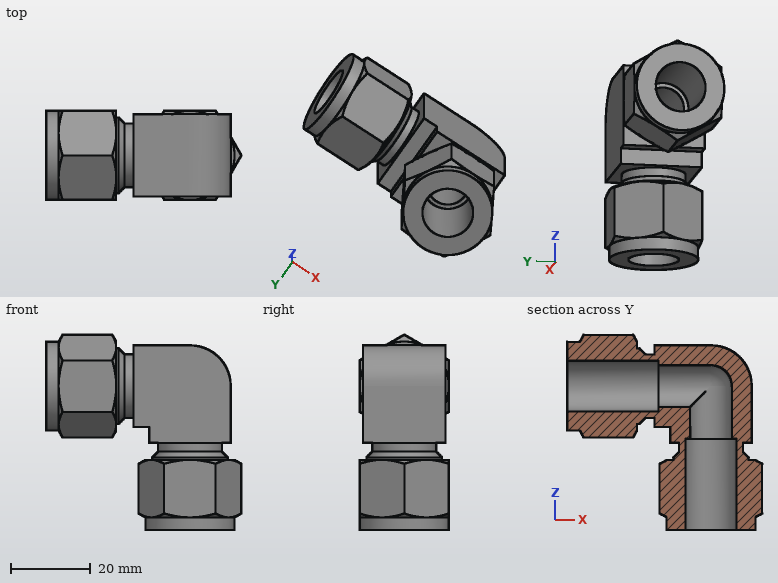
import math
import cadquery as cq


end_distance = 36.07

body_width = 20.7
body_half_height = 10.25
body_face = 14.2

hex_across_flats = 22.35
collar_diameter = hex_across_flats
collar_length = 3.16
hex_length = 14.43
chamfer_angle = 30.0

neck_diameter = 16.06
flange_diameter = 19.05
cone_start = 16.4
cone_end = 17.9

socket_diameter = 12.7
socket_depth = 22.86
bore_diameter = 10.4

hex_outer = end_distance - collar_length
hex_inner = hex_outer - hex_length
hex_across_corners = hex_across_flats / math.cos(math.radians(30))


def cylinder(diameter, start, end):
    """Cylinder on the Z axis, running downwards between two distances."""
    return cq.Workplane("XY").workplane(offset=-end).circle(diameter / 2).extrude(end - start)


def make_body():
    """Elbow block with a rounded outer corner and a notched inner corner."""
    h = body_half_height
    mid_arc = h * math.sqrt(0.5)
    return (
        cq.Workplane("XZ")
        .moveTo(-body_face, h)
        .lineTo(0, h)
        .threePointArc((mid_arc, mid_arc), (h, 0))
        .lineTo(h, -body_face)
        .lineTo(-h, -body_face)
        .lineTo(-h, -h)
        .lineTo(-body_face, -h)
        .close()
        .extrude(body_width / 2, both=True)
    )


def make_hex():
    """Hexagon with conically chamfered corners, two of them pointing along X."""
    prism = (
        cq.Workplane("XY")
        .workplane(offset=-hex_outer)
        .polygon(6, hex_across_corners)
        .extrude(hex_length)
    )
    flat_radius = hex_across_flats / 2
    corner_radius = hex_across_corners / 2
    chamfer_length = (corner_radius - flat_radius) * math.tan(math.radians(chamfer_angle))
    envelope = (
        cq.Workplane("XZ")
        .moveTo(0, -hex_inner)
        .lineTo(flat_radius, -hex_inner)
        .lineTo(corner_radius, -hex_inner - chamfer_length)
        .lineTo(corner_radius, -hex_outer + chamfer_length)
        .lineTo(flat_radius, -hex_outer)
        .lineTo(0, -hex_outer)
        .close()
        .revolve(360, (0, 0), (0, 1))
    )
    return prism.intersect(envelope)


def make_neck():
    """Neck that flares through a cone into the flange under the nut."""
    neck_radius = neck_diameter / 2
    flange_radius = flange_diameter / 2
    return (
        cq.Workplane("XZ")
        .moveTo(0, 0)
        .lineTo(neck_radius, 0)
        .lineTo(neck_radius, -cone_start)
        .lineTo(flange_radius, -cone_end)
        .lineTo(flange_radius, -hex_inner)
        .lineTo(0, -hex_inner)
        .close()
        .revolve(360, (0, 0), (0, 1))
    )


def make_nut_end():
    """Neck, hexagon and collar pointing down."""
    collar = cylinder(collar_diameter, hex_outer, end_distance)
    return make_neck().union(make_hex()).union(collar)


def make_passage():
    """Through bore and tube socket of the end pointing down."""
    bore = cylinder(bore_diameter, 0, end_distance)
    socket = cylinder(socket_diameter, end_distance - socket_depth, end_distance)
    return bore.union(socket)


def turn_to_side(shape):
    """Swing a shape pointing along -Z so that it points along -X."""
    return shape.rotate((0, 0, 0), (0, 1, 0), 90)


nut_end = make_nut_end()
passage = make_passage()
bend = cq.Workplane("XY").sphere(bore_diameter / 2)

result = (
    make_body()
    .union(nut_end)
    .union(turn_to_side(nut_end))
    .cut(passage)
    .cut(turn_to_side(passage))
    .cut(bend)
)